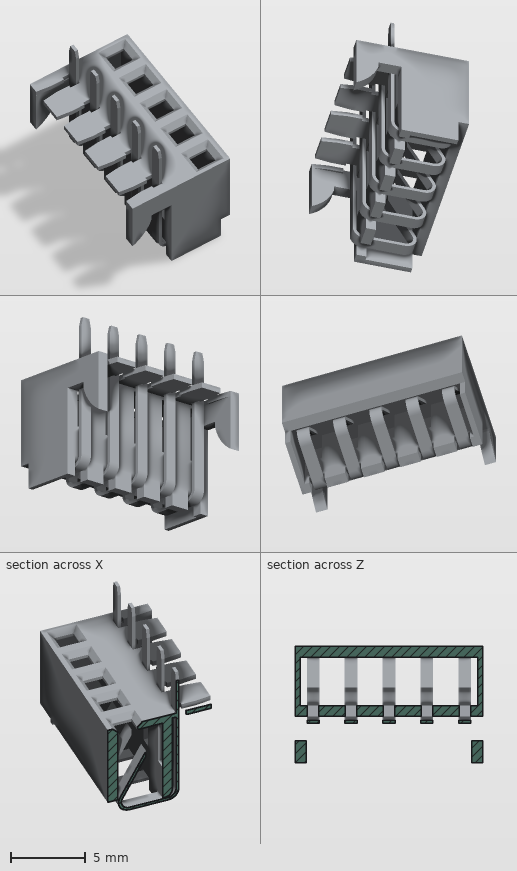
import cadquery as cq
import math


width = 12.6
depth = 7.8
height = 11.23

contact_count = 5
contact_span = 10.15
contact_xs = [contact_span * (i / (contact_count - 1) - 0.5) for i in range(contact_count)]

housing_height = 7.89
block_depth = 4.69
step_depth = 0.74
step_height = 1.78

shelf_thickness = 0.38
shelf_bottom = housing_height - shelf_thickness
arm_thickness = 0.78
arm_bottom = 6.1
hook_length = 1.52
hook_tip_height = 3.78
hook_arc_top = 5.68
hook_arc_inset = 0.97
hook_arc_height = 4.61

notch_width = 1.01
notch_start_depth = 4.94
notch_end_depth = 5.66
neck_width = 0.63
flare_start_depth = 6.68
mouth_width = 0.9

hall_back_depth = step_depth
hall_front_depth = 3.98
hall_top = 7.28
end_wall_thickness = 0.38
entry_width = 1.15
entry_front_depth = 2.14
lead_in = 0.38
slot_width = 1.11
slot_height = 0.98
slot_rounding = 0.49
window_width = 0.72
window_bottom = 3.58

pin_width = 0.85
pin_thickness = 0.24
tip_width = 0.55
tip_length = 0.63
contact_bottom = 0.69
bend_radius = 0.82
rear_bend_depth = 1.59
leaf_end_depth = 2.77
leaf_slope = math.radians(61)


def box(x_centre, x_size, back_depth, front_depth, bottom, top):
    """A block between two depths and two heights, centred on x_centre."""
    return (
        cq.Workplane("XY")
        .box(x_size, front_depth - back_depth, top - bottom, centered=(True, False, False))
        .translate((x_centre, -front_depth, bottom))
    )


def extrude_along_x(profile, x_centre, x_size):
    """A YZ profile extruded symmetrically about x_centre."""
    return profile.extrude(x_size / 2, both=True).translate((x_centre, 0, 0))


def make_block():
    """Main block, with a step along its lower back edge."""
    block = box(0, width, 0, block_depth, 0, housing_height)
    return block.cut(box(0, width, 0, step_depth, 0, step_height))


def make_end_arm(x_centre):
    """Arm reaching forward from the block, with a curved hook at its end."""
    profile = (
        cq.Workplane("YZ")
        .moveTo(-block_depth, housing_height)
        .lineTo(-depth, housing_height)
        .lineTo(-depth, hook_tip_height)
        .threePointArc((-depth + hook_arc_inset, hook_arc_height), (-depth + hook_length, hook_arc_top))
        .lineTo(-depth + hook_length, arm_bottom)
        .lineTo(-block_depth, arm_bottom)
        .close()
    )
    return extrude_along_x(profile, x_centre, arm_thickness)


def make_shelf_slot(x_centre):
    """Slot in the shelf, open to the front."""
    half_outline = [
        (notch_width / 2, -notch_start_depth),
        (notch_width / 2, -notch_end_depth),
        (neck_width / 2, -notch_end_depth),
        (neck_width / 2, -flare_start_depth),
        (mouth_width / 2, -depth),
    ]
    mirrored = [(-x, y) for x, y in reversed(half_outline)]
    return (
        cq.Workplane("XY", origin=(x_centre, 0, shelf_bottom))
        .polyline(half_outline + mirrored)
        .close()
        .extrude(shelf_thickness)
    )


def make_hall():
    """Hall between the end walls, open at the bottom and through the stepped lower back."""
    hall_width = width - 2 * end_wall_thickness
    return box(0, hall_width, hall_back_depth, hall_front_depth, 0, hall_top)


def make_entry(x_centre):
    """Opening through the roof, with a 45 degree lead-in."""
    entry_length = entry_front_depth - hall_back_depth
    throat = box(x_centre, entry_width, hall_back_depth, entry_front_depth, hall_top, housing_height)
    funnel = (
        cq.Workplane("XY", origin=(x_centre, -(hall_back_depth + entry_front_depth) / 2, housing_height))
        .rect(entry_width + 2 * lead_in, entry_length + 2 * lead_in)
        .extrude(-lead_in, taper=45)
    )
    return throat.union(funnel)


def make_bottom_slot(x_centre):
    """Slot under the front wall, its ceiling rounded up into the front face."""
    round_start_depth = block_depth - slot_rounding
    quarter = slot_rounding * math.sqrt(0.5)
    profile = (
        cq.Workplane("YZ")
        .moveTo(-hall_front_depth, 0)
        .lineTo(-hall_front_depth, slot_height)
        .lineTo(-round_start_depth, slot_height)
        .threePointArc(
            (-round_start_depth - quarter, slot_height + slot_rounding - quarter),
            (-block_depth, slot_height + slot_rounding),
        )
        .lineTo(-block_depth, 0)
        .close()
    )
    return extrude_along_x(profile, x_centre, slot_width)


def make_window(x_centre):
    """Opening behind the pin, through the front wall of the hall."""
    return box(x_centre, window_width, hall_front_depth, block_depth, window_bottom, hall_top)


def make_contact(x_centre):
    """Bent strip: upright pin, front bend, bottom run, rear bend and sloping leaf."""
    bend_z = contact_bottom + bend_radius
    inner_radius = bend_radius - pin_thickness
    pin_back_depth = notch_start_depth
    pin_front_depth = pin_back_depth + pin_thickness
    front_bend_depth = pin_front_depth - bend_radius

    def on_bend(centre_depth, radius, angle):
        """Point on a bend, the angle measured from straight down towards the back."""
        return (-centre_depth + radius * math.sin(angle), bend_z - radius * math.cos(angle))

    def leaf_end(start):
        """Where a leaf line from start is cut off upright."""
        run = leaf_end_depth + start[0]
        return (-leaf_end_depth, start[1] + run * math.tan(leaf_slope))

    quarter_turn = math.radians(90)
    rear_turn = math.pi - leaf_slope
    leaf_outer = on_bend(rear_bend_depth, bend_radius, rear_turn)
    leaf_inner = on_bend(rear_bend_depth, inner_radius, rear_turn)
    profile = (
        cq.Workplane("YZ")
        .moveTo(-pin_front_depth, height)
        .lineTo(-pin_front_depth, bend_z)
        .threePointArc(
            on_bend(front_bend_depth, bend_radius, -quarter_turn / 2),
            on_bend(front_bend_depth, bend_radius, 0),
        )
        .lineTo(-rear_bend_depth, contact_bottom)
        .threePointArc(on_bend(rear_bend_depth, bend_radius, rear_turn / 2), leaf_outer)
        .lineTo(*leaf_end(leaf_outer))
        .lineTo(*leaf_end(leaf_inner))
        .lineTo(*leaf_inner)
        .threePointArc(
            on_bend(rear_bend_depth, inner_radius, rear_turn / 2),
            on_bend(rear_bend_depth, inner_radius, 0),
        )
        .lineTo(-front_bend_depth, contact_bottom + pin_thickness)
        .threePointArc(
            on_bend(front_bend_depth, inner_radius, -quarter_turn / 2),
            on_bend(front_bend_depth, inner_radius, -quarter_turn),
        )
        .lineTo(-pin_back_depth, height)
        .close()
    )
    contact = extrude_along_x(profile, x_centre, pin_width)
    for side in (-1, 1):
        tip_corner = (
            cq.Workplane("XZ", origin=(x_centre, -pin_back_depth, 0))
            .moveTo(side * tip_width / 2, height)
            .lineTo(side * pin_width / 2, height)
            .lineTo(side * pin_width / 2, height - tip_length)
            .close()
            .extrude(pin_thickness)
        )
        contact = contact.cut(tip_corner)
    return contact


housing = make_block()
housing = housing.union(box(0, width, block_depth, depth, shelf_bottom, housing_height))
for side in (-1, 1):
    housing = housing.union(make_end_arm(side * (width - arm_thickness) / 2))

housing = housing.cut(make_hall())
for x in contact_xs:
    housing = housing.cut(make_shelf_slot(x))
    housing = housing.cut(make_entry(x))
    housing = housing.cut(make_bottom_slot(x))
    housing = housing.cut(make_window(x))

result = housing
for x in contact_xs:
    result = result.union(make_contact(x))